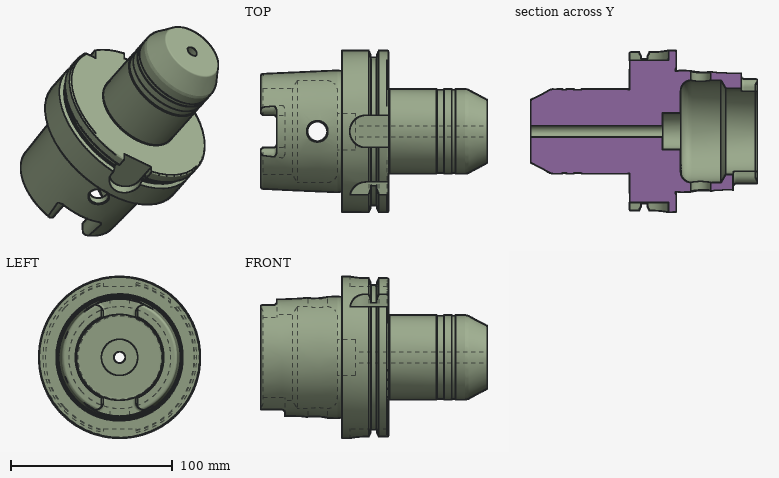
import cadquery as cq
import math


total_length = 140.0
flange_start = 50.0
flange_end = 79.0

tail_diameter = 71.1
taper_diameter = 75.5
taper_end = 47.5
tail_fillet = 1.8
neck_start = 49.0
neck_depth = 0.3
face_recess_diameter = 78.4
face_recess_depth = 0.5
face_recess_slope_width = 0.8

flange_diameter = 100.0
flange_front_chamfer = 0.4
flange_back_fillet = 1.0
groove_start = 66.6
groove_end = 73.1
groove_flank_width = 1.3
groove_flank_depth = 2.5
groove_diameter = 91.7
groove_corner_fillet = 0.4

shank_diameter = 52.5
shank_start = 79.7
shank_relief_depth = 0.3
ring_diameter = 51.5
first_ring_start = 108.5
first_ring_end = 113.4
second_ring_start = 117.9
second_ring_end = 120.5
nose_start = 127.3
nose_angle = math.radians(28)
nose_blend_radius = 4.2
nose_edge_fillet = 1.3

mouth_chamfer_depth = 0.8
mouth_chamfer_length = 1.4
bore_diameter = 53.0
bore_lip_end = 19.6
bore_lip_angle = math.radians(30)
undercut_diameter = 63.0
bore_floor = 47.3
floor_corner_radius = 6.6
socket_diameter = 22.4
socket_depth = 11.2
coolant_diameter = 6.9

access_diameter = 12.0
access_chamfer = 0.5
access_x = 35.0

drive_half_width = 10.0
drive_lug_height = 32.3
drive_edge_radius = 5.0
drive_corner_radius = 2.0
drive_lug_chamfer = 1.4
top_drive_depth = 10.0
bottom_drive_depth = 15.0

key_radius = 10.0
key_centre_x = 65.0
key_floor = 44.0
notch_offset = 31.2

selection_margin = 0.7

taper_radius = taper_diameter / 2
tail_radius = tail_diameter / 2
neck_radius = taper_radius - neck_depth
flange_radius = flange_diameter / 2
shank_radius = shank_diameter / 2
ring_radius = ring_diameter / 2
ring_flank = shank_radius - ring_radius
bore_radius = bore_diameter / 2
undercut_radius = undercut_diameter / 2


def revolve_about_x(sketch):
    """Close a half profile and turn it fully round the X axis."""
    return sketch.close().revolve(360, (0, 0, 0), (1, 0, 0))


def make_outer_body():
    """Turned outside of the holder as one solid of revolution."""
    nose_radius = shank_radius - (total_length - nose_start) * math.tan(nose_angle)
    recess_radius = face_recess_diameter / 2
    groove_bottom = groove_diameter / 2
    floor_start = groove_start + groove_flank_width
    floor_end = groove_end - groove_flank_width
    flank_radius = flange_radius - groove_flank_depth
    profile = (
        cq.Workplane("XY")
        .moveTo(0, 0)
        .lineTo(0, tail_radius)
        .lineTo(taper_end, taper_radius)
        .lineTo(neck_start, neck_radius)
        .lineTo(flange_start + face_recess_depth, neck_radius)
        .lineTo(flange_start + face_recess_depth, recess_radius - face_recess_slope_width)
        .lineTo(flange_start, recess_radius)
        .lineTo(flange_start, flange_radius - flange_front_chamfer)
        .lineTo(flange_start + flange_front_chamfer, flange_radius)
        .lineTo(groove_start, flange_radius)
        .lineTo(floor_start, flank_radius)
        .lineTo(floor_start, groove_bottom + groove_corner_fillet)
        .tangentArcPoint((floor_start + groove_corner_fillet, groove_bottom), relative=False)
        .lineTo(floor_end - groove_corner_fillet, groove_bottom)
        .tangentArcPoint((floor_end, groove_bottom + groove_corner_fillet), relative=False)
        .lineTo(floor_end, flank_radius)
        .lineTo(groove_end, flange_radius)
        .lineTo(flange_end - flange_back_fillet, flange_radius)
        .tangentArcPoint((flange_end, flange_radius - flange_back_fillet), relative=False)
        .lineTo(flange_end, shank_radius - shank_relief_depth)
        .lineTo(shank_start, shank_radius - shank_relief_depth)
        .lineTo(shank_start, shank_radius)
        .lineTo(first_ring_start, shank_radius)
        .lineTo(first_ring_start + ring_flank, ring_radius)
        .lineTo(first_ring_end - ring_flank, ring_radius)
        .lineTo(first_ring_end, shank_radius)
        .lineTo(second_ring_start, shank_radius)
        .lineTo(second_ring_start, ring_radius)
        .lineTo(second_ring_end - ring_flank, ring_radius)
        .lineTo(second_ring_end, shank_radius)
        .lineTo(nose_start, shank_radius)
        .lineTo(total_length, nose_radius)
        .lineTo(total_length, 0)
    )
    body = revolve_about_x(profile)
    body = body.faces("<X").edges().fillet(tail_fillet)
    body = body.faces(">X").edges().fillet(nose_edge_fillet)
    reach = shank_radius + selection_margin
    nose_edge = cq.selectors.BoxSelector(
        (nose_start - selection_margin, -reach, -reach),
        (nose_start + selection_margin, reach, reach),
        boundingbox=True,
    )
    return body.edges(nose_edge).fillet(nose_blend_radius)


def make_bore():
    """Clamping bore with its lip and undercut, coolant socket and through hole."""
    lip_slope_length = (undercut_radius - bore_radius) * math.tan(bore_lip_angle)
    socket_end = bore_floor + socket_depth
    profile = (
        cq.Workplane("XY")
        .moveTo(0, 0)
        .lineTo(0, bore_radius + mouth_chamfer_depth)
        .lineTo(mouth_chamfer_length, bore_radius)
        .lineTo(bore_lip_end, bore_radius)
        .lineTo(bore_lip_end + lip_slope_length, undercut_radius)
        .lineTo(bore_floor - floor_corner_radius, undercut_radius)
        .tangentArcPoint((bore_floor, undercut_radius - floor_corner_radius), relative=False)
        .lineTo(bore_floor, socket_diameter / 2)
        .lineTo(socket_end, socket_diameter / 2)
        .lineTo(socket_end, coolant_diameter / 2)
        .lineTo(total_length, coolant_diameter / 2)
        .lineTo(total_length, 0)
    )
    return revolve_about_x(profile)


def make_drive_slot(depth):
    """Cutter for the slot at the top of the tail, with rounded lug shoulders."""
    inside = bore_radius / 2
    outside = taper_radius + drive_corner_radius
    shoulder = drive_half_width + drive_edge_radius
    wall_top = drive_lug_height - drive_edge_radius
    arc_inset = drive_edge_radius * (1 - math.sqrt(0.5))
    half = (
        cq.Workplane("YZ")
        .moveTo(0, inside)
        .lineTo(drive_half_width, inside)
        .lineTo(drive_half_width, wall_top)
        .threePointArc(
            (drive_half_width + arc_inset, drive_lug_height - arc_inset),
            (shoulder, drive_lug_height),
        )
        .lineTo(outside, drive_lug_height)
        .lineTo(outside, outside)
        .lineTo(0, outside)
        .close()
        .extrude(depth)
    )
    slot = half.union(half.mirror("XZ"))
    slot = slot.faces(">X").edges().fillet(drive_corner_radius)
    mouth_width = drive_half_width + drive_lug_chamfer
    mouth = (
        cq.Workplane("XY", origin=(0, 0, inside))
        .polyline([
            (0, -mouth_width),
            (drive_lug_chamfer, -drive_half_width),
            (drive_lug_chamfer, drive_half_width),
            (0, mouth_width),
        ])
        .close()
        .extrude(outside - inside)
    )
    return slot.union(mouth)


def make_access_hole():
    """Radial hole straight through both taper walls."""
    base = cq.Workplane("XY", origin=(access_x, 0, -taper_radius))
    return base.circle(access_diameter / 2).extrude(2 * taper_radius)


def chamfer_access_mouths(body):
    """Break the two hole edges on the outside of the taper."""
    reach = access_diameter / 2 + selection_margin
    wall_middle = (undercut_radius + taper_radius) / 2
    for low, high in ((wall_middle, flange_radius), (-flange_radius, -wall_middle)):
        mouth = cq.selectors.BoxSelector(
            (access_x - reach, -reach, low),
            (access_x + reach, reach, high),
            boundingbox=True,
        )
        body = body.edges(mouth).chamfer(access_chamfer)
    return body


def make_key_slot():
    """Cutter for the top flange slot, rounded at its tail end."""
    length = flange_end - key_centre_x
    base = cq.Workplane("XY", origin=(key_centre_x, 0, key_floor))
    depth = flange_radius - key_floor
    straight = base.center(length / 2, 0).rect(length, 2 * key_radius).extrude(depth)
    end = base.circle(key_radius).extrude(depth)
    return straight.union(end)


def make_corner_notch():
    """Cutter for the square notch in the flange between its -Y and +Z sides."""
    width = flange_radius
    notch = cq.Workplane("XY", origin=(key_centre_x, -notch_offset, notch_offset))
    height = flange_radius - notch_offset
    straight = notch.rect(flange_end - key_centre_x, -width, centered=False).extrude(height)
    end = notch.center(0, -key_radius).circle(key_radius).extrude(height)
    return straight.union(end)


top_drive_slot = make_drive_slot(top_drive_depth)
bottom_drive_slot = make_drive_slot(bottom_drive_depth).mirror("XY")
key_slot = make_key_slot()

result = make_outer_body()
for cutter in (
    make_bore(),
    top_drive_slot,
    bottom_drive_slot,
    make_access_hole(),
    key_slot,
    key_slot.mirror("XY"),
    make_corner_notch(),
):
    result = result.cut(cutter)
result = chamfer_access_mouths(result)